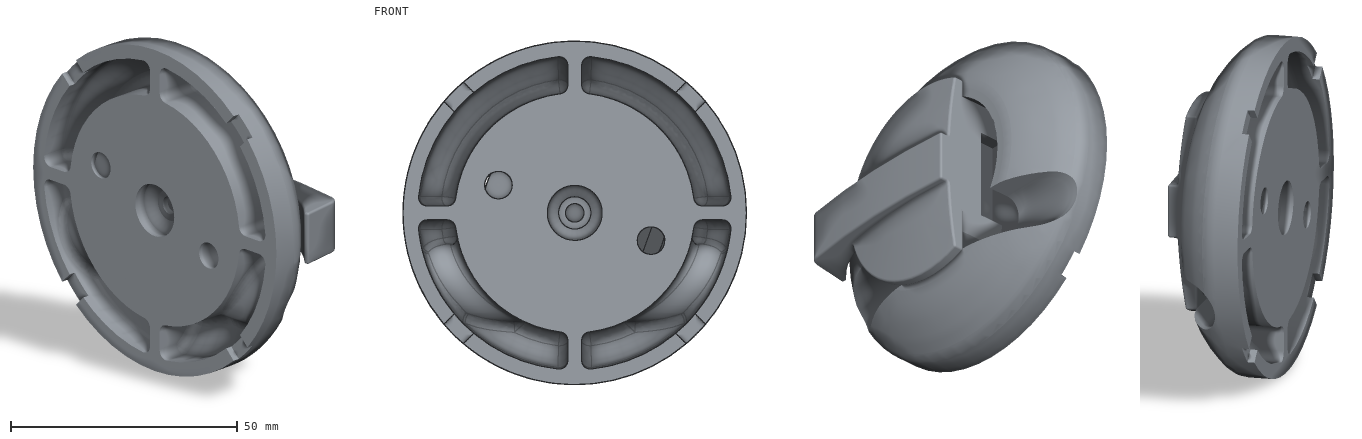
import cadquery as cq
import math

rim_radius = 38.0
side_height = 5.5
shoulder_radius = 4.95
dome_radius = 23.8
dome_centre_r = 18.0
crown_radius = 7.6
top_height = 17.2
shell_wall = 3.3

core_radius = 26.5
rib_width = 3.05
pocket_fillet = 2.0

notch_count = 4
notch_start_angle = 45.0
notch_width = 6.1
notch_depth = 1.6

floor_thickness = 1.0
hub_radius = 20.5
hub_clearance = 0.3
boss_radius = 9.1
deck_height = 6.1

channel_radius = 5.8
channel_y = 12.0
channel_z = -15.5
channel_wall = 3.05
channel_fillet = 1.5

bore_radius = 6.1
bore_depth = 2.7
cone_end_radius = 3.6
cone_end_depth = 4.55
screw_radius = 2.05
pin_radius = 3.05
pin_circle = 17.9
pin_angle = -20.0

flat_x = -10.0
plate_radius = 24.3
plate_bottom = 17.55
plate_rim_top = 20.15
plate_apex = 22.6
ridge_half_width = 6.1
ridge_back_y = 24.25
ridge_peak_x = 5.3
ridge_peak_y = 24.9
nose_x = 34.95
nose_y = 22.35
nose_radius = 3.05
tip_x = 36.6
tip_y = 11.25
finger_gap = 0.7
edge_fillet = 0.5

hub_top = plate_bottom + 2 * edge_fillet
cam_corner_z = -11.6
cam_knee = (-9.1, -16.65)
cam_bottom_z = -19.9
slot_top = 12.2
slot_half_width = 10.8
slot_depth = 3.05
pin_hole_top = 12.15
pin_step_floor = 11.4
pin_step_r = 17.1

tolerance = 0.015

shoulder_r = rim_radius - shoulder_radius
shoulder_gap = dome_radius - shoulder_radius
dome_centre_y = side_height - math.sqrt(shoulder_gap**2 - (shoulder_r - dome_centre_r) ** 2)
recess_radius = hub_radius + hub_clearance


def revolve_y(outline):
    return outline.close().revolve(360, (0, 0, 0), (0, 1, 0))


def cylinder_y(radius, bottom, top):
    outline = cq.Workplane("XY").moveTo(0, bottom).lineTo(radius, bottom).lineTo(radius, top).lineTo(0, top)
    return revolve_y(outline)


def box_between(low, high):
    size = [b - a for a, b in zip(low, high)]
    return cq.Workplane("XY").box(*size, centered=False).translate(low)


def point_on_arc(centre, radius, angle):
    return (centre[0] + radius * math.cos(angle), centre[1] + radius * math.sin(angle))


def shell_solid(inset):
    """Solid of revolution under the dome, moved inward from the outer skin by inset."""
    shoulder_centre = (shoulder_r, side_height)
    dome_centre = (dome_centre_r, dome_centre_y)
    top = top_height - inset
    crown_y = top_height - crown_radius
    crown_rise = crown_y - dome_centre_y
    crown_run = math.sqrt((dome_radius - crown_radius) ** 2 - crown_rise**2)
    crown_centre = (dome_centre_r + crown_run, crown_y)
    shoulder_angle = math.atan2(side_height - dome_centre_y, shoulder_r - dome_centre_r)
    crown_angle = math.atan2(crown_rise, crown_run)

    outline = (
        cq.Workplane("XY")
        .lineTo(rim_radius - inset, 0)
        .lineTo(rim_radius - inset, side_height)
        .threePointArc(
            point_on_arc(shoulder_centre, shoulder_radius - inset, shoulder_angle / 2),
            point_on_arc(shoulder_centre, shoulder_radius - inset, shoulder_angle),
        )
        .threePointArc(
            point_on_arc(dome_centre, dome_radius - inset, (shoulder_angle + crown_angle) / 2),
            point_on_arc(dome_centre, dome_radius - inset, crown_angle),
        )
        .threePointArc(
            point_on_arc(crown_centre, crown_radius - inset, (crown_angle + math.pi / 2) / 2),
            (crown_centre[0], top),
        )
        .lineTo(0, top)
    )
    return revolve_y(outline)


def channel_solid(radius):
    """Round-bottomed bar along X, open toward the top."""
    bar = cq.Workplane("YZ").center(channel_y, channel_z).circle(radius).extrude(rim_radius, both=True)
    upper = box_between(
        (-rim_radius, channel_y, channel_z - radius),
        (rim_radius, top_height + radius, channel_z + radius),
    )
    return bar.union(upper)


def channel_distance(point):
    """Distance from the channel's axis, measured sideways above the axis."""
    if point.y < channel_y:
        return math.hypot(point.y - channel_y, point.z - channel_z)
    return abs(point.z - channel_z)


def is_sharp_pocket_edge(edge):
    """True away from the open mouth and from the smooth joints of the outer wall."""
    return edge.positionAt(0.5).y > tolerance and edge.geomType() != "CIRCLE"


def is_channel_wall_edge(edge):
    """True where the channel's wall meets the inside of a pocket."""
    points = edge.positions([0.1, 0.3, 0.5, 0.7, 0.9])
    wall_radius = channel_radius + channel_wall
    return all(p.y > tolerance and abs(channel_distance(p) - wall_radius) < tolerance for p in points)


def pocket(x_sign, z_sign):
    """Quarter of the hollow under the dome, between two ribs."""
    half_rib = rib_width / 2
    quadrant = box_between((half_rib, 0, half_rib), (rim_radius, top_height, rim_radius))
    hollow = shell_solid(shell_wall).cut(cylinder_y(core_radius, 0, top_height)).intersect(quadrant)
    hollow = hollow.edges().filter(is_sharp_pocket_edge).fillet(pocket_fillet)
    if x_sign < 0:
        hollow = hollow.mirror("YZ")
    if z_sign < 0:
        hollow = hollow.mirror("XY").cut(channel_solid(channel_radius + channel_wall))
        hollow = hollow.edges().filter(is_channel_wall_edge).fillet(channel_fillet)
    return hollow


def screw_bore():
    outline = (
        cq.Workplane("XY")
        .lineTo(bore_radius, 0)
        .lineTo(bore_radius, bore_depth)
        .lineTo(cone_end_radius, cone_end_depth)
        .lineTo(screw_radius, cone_end_depth)
        .lineTo(screw_radius, deck_height)
        .lineTo(0, deck_height)
    )
    return revolve_y(outline)


def pin_hole(angle, bottom, top):
    hole = cylinder_y(pin_radius, bottom, top).translate((pin_circle, 0, 0))
    return hole.rotate((0, 0, 0), (0, 1, 0), -angle)


def make_base():
    base = shell_solid(0)
    base = base.cut(cylinder_y(recess_radius, floor_thickness, top_height))
    base = base.union(cylinder_y(boss_radius, 0, deck_height))
    base = base.cut(channel_solid(channel_radius))
    for x_sign in (1, -1):
        for z_sign in (1, -1):
            base = base.cut(pocket(x_sign, z_sign))
    base = base.cut(screw_bore())
    for angle in (pin_angle, pin_angle + 180):
        base = base.cut(pin_hole(angle, 0, top_height))
    for i in range(notch_count):
        notch = box_between((core_radius, 0, -notch_width / 2), (rim_radius, notch_depth, notch_width / 2))
        base = base.cut(notch.rotate((0, 0, 0), (0, 1, 0), notch_start_angle + 360 / notch_count * i))
    return base


def trim_at_flat(body):
    beyond = box_between((-rim_radius, 0, -rim_radius), (flat_x, ridge_peak_y, rim_radius))
    return body.cut(beyond)


def head_plate():
    """Low domed disc, trimmed by the flat."""
    sag = plate_apex - plate_rim_top
    dome_sphere = (plate_radius**2 + sag**2) / (2 * sag)
    half_r = plate_radius / 2
    half_y = plate_apex - dome_sphere + math.sqrt(dome_sphere**2 - half_r**2)
    outline = (
        cq.Workplane("XY")
        .moveTo(0, plate_bottom)
        .lineTo(plate_radius, plate_bottom)
        .lineTo(plate_radius, plate_rim_top)
        .threePointArc((half_r, half_y), (0, plate_apex))
    )
    return trim_at_flat(revolve_y(outline))


def ridge():
    """Grip along X whose finger bends down over the dome."""
    finger_radius = dome_radius + finger_gap

    def underside_y(x):
        return dome_centre_y + math.sqrt(finger_radius**2 - (x - dome_centre_r) ** 2)

    start_x = dome_centre_r + math.sqrt(finger_radius**2 - (plate_bottom - dome_centre_y) ** 2)
    end_x = dome_centre_r + math.sqrt(finger_radius**2 - (tip_y - dome_centre_y) ** 2)
    middle_x = (start_x + end_x) / 2
    outline = (
        cq.Workplane("XY")
        .moveTo(flat_x, plate_bottom)
        .lineTo(flat_x, ridge_back_y)
        .threePointArc((ridge_peak_x, ridge_peak_y), (nose_x, nose_y))
        .lineTo(tip_x, tip_y)
        .lineTo(end_x, tip_y)
        .threePointArc((middle_x, underside_y(middle_x)), (start_x, plate_bottom))
        .close()
    )
    bar = outline.extrude(ridge_half_width, both=True)
    return bar.edges("|Z").edges(cq.NearestToPointSelector((nose_x, nose_y, 0))).fillet(nose_radius)


def head():
    return head_plate().union(ridge()).edges().fillet(edge_fillet)


def hub():
    """Round deck on the recess floor and, above it, the cam that clamps the cord."""
    deck = cylinder_y(hub_radius, floor_thickness, deck_height)
    deck = deck.cut(cylinder_y(boss_radius, floor_thickness, deck_height))
    knee_x, knee_z = cam_knee
    end_x = -math.sqrt(hub_radius**2 - cam_bottom_z**2)
    cam_plan = (
        cq.Workplane("XZ")
        .moveTo(flat_x, hub_radius)
        .lineTo(flat_x, cam_corner_z)
        .lineTo(knee_x, knee_z)
        .lineTo(end_x, cam_bottom_z)
        .lineTo(hub_radius, cam_bottom_z)
        .lineTo(hub_radius, hub_radius)
        .close()
        .extrude(-hub_top)
    )
    cam = cylinder_y(hub_radius, deck_height, hub_top).intersect(cam_plan)
    slot = box_between(
        (flat_x, deck_height, -slot_half_width), (flat_x + slot_depth, slot_top, slot_half_width)
    )
    return deck.union(cam.cut(slot))


def hub_pin_hole():
    """Blind pin hole whose floor steps deeper on the side away from the axis."""
    inner_half = box_between(
        (0, pin_step_floor, -hub_radius), (pin_step_r, pin_hole_top, hub_radius)
    ).rotate((0, 0, 0), (0, 1, 0), -pin_angle)
    return pin_hole(pin_angle, floor_thickness, pin_hole_top).cut(inner_half)


def make_lever():
    return head().union(hub()).cut(hub_pin_hole())


base = make_base()
lever = make_lever()
result = cq.Compound.makeCompound([base.val(), lever.val()])